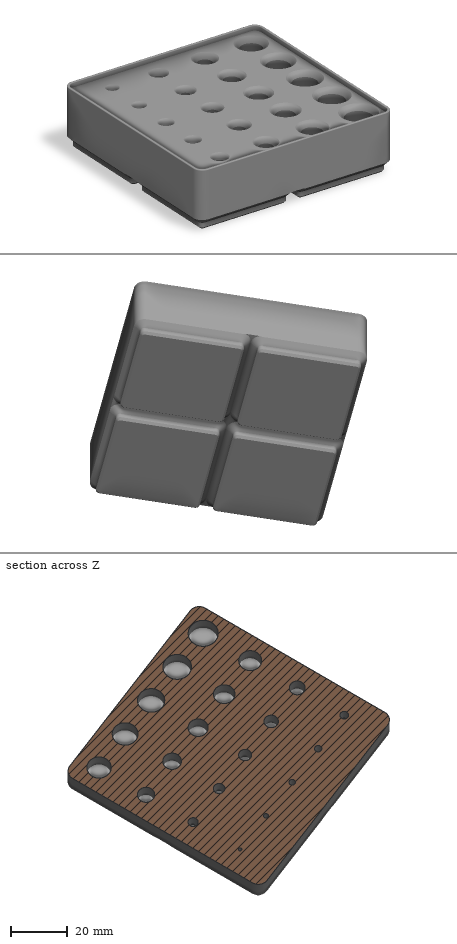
import cadquery as cq

cell_pitch = 42.0
cells_per_side = 2
clearance = 0.5
block_size = cells_per_side * cell_pitch - clearance
block_height = 24.43
corner_radius = 3.75

foot_corner_radius = 4.0
foot_lower_flare = 0.8
foot_straight = 1.8
foot_upper_flare = 2.4
foot_height = foot_lower_flare + foot_straight + foot_upper_flare

rim_height = 2.0
deck_height = block_height - rim_height
rim_width = 1.0
rim_top_radius = 0.3

hole_rows = [
    [1.1, 1.6, 2.1, 2.4, 2.9],
    [3.4, 3.9, 4.4, 4.9, 5.4],
    [5.9, 6.4, 6.9, 7.4, 7.9],
    [8.4, 8.9, 9.4, 9.9, 10.4],
]
hole_pitch_x = 16.4
hole_pitch_y = 19.87
hole_grid_offset_y = 3.0
hole_floor = 7.0
countersink = 2.0


def rounded_square(size, radius, bottom, height, flare=0.0):
    """Upright rounded square that starts with the given size and widens by flare on every side."""
    lower = cq.Sketch().rect(size, size).vertices().fillet(radius)
    plane = cq.Workplane("XY").workplane(offset=bottom)
    if flare == 0:
        return plane.placeSketch(lower).extrude(height)
    top_size = size + 2 * flare
    upper = cq.Sketch().rect(top_size, top_size).vertices().fillet(radius + flare)
    raised_upper = upper.moved(cq.Location(cq.Vector(0, 0, height)))
    return plane.placeSketch(lower, raised_upper).loft(ruled=True)


def make_foot():
    """One foot centred on the origin, standing on Z = 0."""
    band_size = cell_pitch - 2 * foot_upper_flare
    band_radius = foot_corner_radius - foot_upper_flare
    sole_size = band_size - 2 * foot_lower_flare
    sole_radius = band_radius - foot_lower_flare
    band_top = foot_lower_flare + foot_straight
    lower = rounded_square(sole_size, sole_radius, 0, foot_lower_flare, foot_lower_flare)
    band = rounded_square(band_size, band_radius, foot_lower_flare, foot_straight)
    upper = rounded_square(band_size, band_radius, band_top, foot_upper_flare, foot_upper_flare)
    return lower.union(band).union(upper)


def make_body():
    """Block with its feet; the outer flares of the feet are trimmed to the block outline."""
    body = rounded_square(block_size, corner_radius, foot_height, block_height - foot_height)
    foot_trim = rounded_square(block_size, corner_radius, 0, foot_height)
    foot = make_foot()
    first_centre = -cell_pitch * (cells_per_side - 1) / 2
    for column in range(cells_per_side):
        for row in range(cells_per_side):
            x = first_centre + column * cell_pitch
            y = first_centre + row * cell_pitch
            body = body.union(foot.translate((x, y, 0)).intersect(foot_trim))
    return body


def cut_rim_recess(body):
    """Sink the deck below the rim and round both top edges of the rim."""
    recess_size = block_size - 2 * rim_width
    recess_radius = corner_radius - rim_width
    recess = rounded_square(recess_size, recess_radius, deck_height, rim_height)
    return body.cut(recess).faces(">Z").edges().fillet(rim_top_radius)


def make_hole(diameter):
    """Flat-bottomed round hole with a 45 degree countersink at the deck."""
    radius = diameter / 2
    profile = [
        (0, hole_floor),
        (radius, hole_floor),
        (radius, deck_height - countersink),
        (radius + countersink, deck_height),
        (0, deck_height),
    ]
    return cq.Workplane("XZ").polyline(profile).close().revolve(360, (0, 0), (0, 1))


def cut_holes(body):
    """Cut every hole, with the grid centred in X and shifted toward the back in Y."""
    for row, diameters in enumerate(hole_rows):
        y = hole_grid_offset_y + (row - (len(hole_rows) - 1) / 2) * hole_pitch_y
        for column, diameter in enumerate(diameters):
            x = (column - (len(diameters) - 1) / 2) * hole_pitch_x
            body = body.cut(make_hole(diameter).translate((x, y, 0)))
    return body


body = cut_rim_recess(make_body())
result = cut_holes(body)